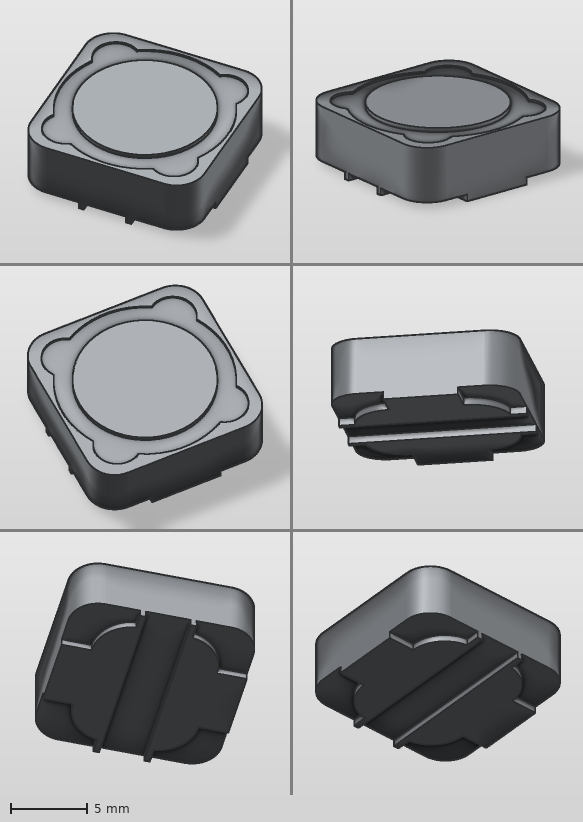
import cadquery as cq

side = 12.5
total_height = 4.5
corner_radius = 2.0
pad_height = 0.5

recess_depth = 0.15
disc_rise = 0.15
disc_radius = 4.75
recess_radius = 5.99
lobe_radius = 1.58
lobe_offset = 3.9

pad_inner_x = 1.52
pad_half_width = 2.49
shoulder_radius = 2.71
arm_width = 0.38

half_side = side / 2
rim_z = total_height - disc_rise
floor_z = rim_z - recess_depth


def housing():
    """Rounded square block standing above the terminal pads."""
    block = cq.Workplane("XY").workplane(offset=pad_height).rect(side, side).extrude(rim_z - pad_height)
    return block.edges("|Z").fillet(corner_radius)


def top_recess():
    """Shallow round pocket with one lobe towards each corner."""
    floor = cq.Workplane("XY").workplane(offset=floor_z)
    pocket = floor.circle(recess_radius).extrude(recess_depth)
    lobes = floor.rect(2 * lobe_offset, 2 * lobe_offset, forConstruction=True).vertices()
    return pocket.union(lobes.circle(lobe_radius).extrude(recess_depth))


def core_disc():
    """Disc rising from the recess floor to just above the rim."""
    return cq.Workplane("XY").workplane(offset=floor_z).circle(disc_radius).extrude(total_height - floor_z)


def terminal_pad():
    """Pad on the -X side: a tab flush with the housing, round shoulders and two narrow arms."""
    tab = cq.Workplane("XY").box(
        half_side - pad_inner_x, 2 * pad_half_width, pad_height, centered=(False, True, False)
    ).translate((-half_side, 0, 0))
    arms = cq.Workplane("XY").box(
        arm_width, side, pad_height, centered=(False, True, False)
    ).translate((-pad_inner_x - arm_width, 0, 0))
    shoulder = (
        cq.Workplane("XY")
        .moveTo(-pad_inner_x, -pad_half_width)
        .lineTo(-pad_inner_x - shoulder_radius, -pad_half_width)
        .radiusArc((-pad_inner_x, -pad_half_width - shoulder_radius), -shoulder_radius)
        .close()
        .extrude(pad_height)
    )
    return tab.union(arms).union(shoulder).union(shoulder.mirror("XZ"))


left_pad = terminal_pad()
right_pad = left_pad.mirror("YZ")

result = housing().cut(top_recess()).union(core_disc()).union(left_pad).union(right_pad)